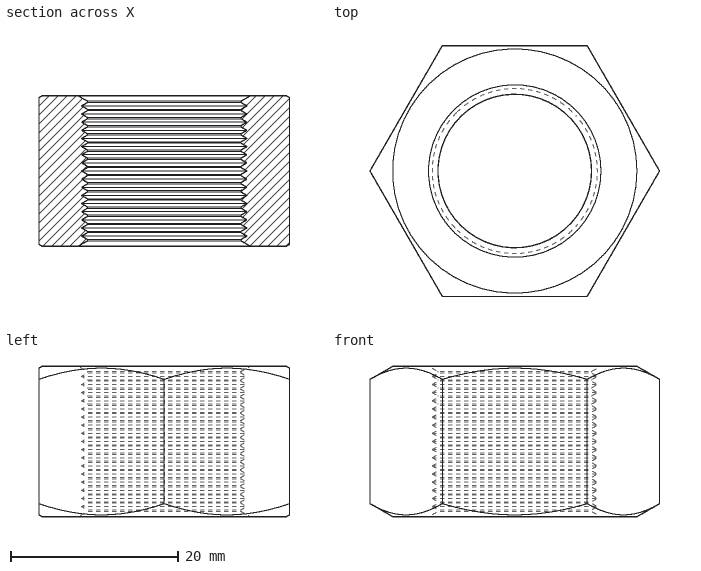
import cadquery as cq
import math

across_corners = 34.65
height = 18.0
half_height = height / 2

end_face_diameter = 29.2
countersink_diameter = 20.6
bore_diameter = 18.32
slope = math.tan(math.radians(30))

groove_count = 17
land_width = 0.155

corner_radius = across_corners / 2
face_radius = end_face_diameter / 2
bore_radius = bore_diameter / 2
countersink_radius = countersink_diameter / 2
chamfer_height = (corner_radius - face_radius) * slope
countersink_depth = (countersink_radius - bore_radius) * slope

threaded_length = height - 2 * countersink_depth
pitch = (threaded_length - land_width) / groove_count
groove_width = pitch - land_width
root_radius = bore_radius + groove_width / 2 / slope


def revolve_profile(points):
    """Revolve a closed (radius, z) outline about the Z axis."""
    return cq.Workplane("XZ").polyline(points).close().revolve(360, (0, 0, 0), (0, 1, 0))


def chamfered_hexagon():
    """Hexagonal prism with its corners turned down to cones at both ends."""
    prism = cq.Workplane("XY").polygon(6, across_corners).extrude(half_height, both=True)
    chamfer_base = half_height - chamfer_height
    turned_envelope = revolve_profile([
        (0, -half_height),
        (face_radius, -half_height),
        (corner_radius, -chamfer_base),
        (corner_radius, chamfer_base),
        (face_radius, half_height),
        (0, half_height),
    ])
    return prism.intersect(turned_envelope)


def threaded_bore():
    """Solid filling the bore: countersinks at both ends and ring grooves between them."""
    thread_end = threaded_length / 2
    points = [
        (0, -half_height),
        (countersink_radius, -half_height),
        (bore_radius, -thread_end),
    ]
    for i in range(groove_count):
        groove_start = -thread_end + land_width + i * pitch
        points += [
            (bore_radius, groove_start),
            (root_radius, groove_start + groove_width / 2),
            (bore_radius, groove_start + groove_width),
        ]
    points += [
        (bore_radius, thread_end),
        (countersink_radius, half_height),
        (0, half_height),
    ]
    return revolve_profile(points)


result = chamfered_hexagon().cut(threaded_bore())